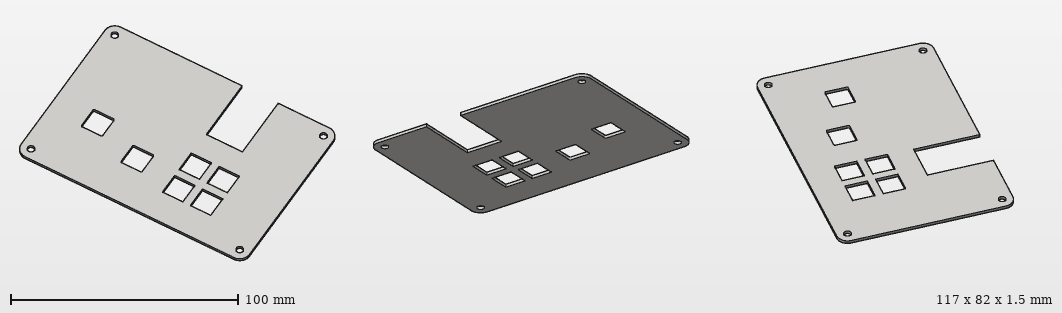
import cadquery as cq

length = 117.0
width = 82.0
thickness = 1.5
corner_radius = 5.0

hole_diameter = 3.4
hole_spacing_x = length - 2 * corner_radius
hole_spacing_y = width - 2 * corner_radius

notch_width = 18.5
notch_depth = 30.8
notch_center_x = 18.0

round_window_size = 10.8
round_window_radius = 0.5
round_window_centers = [(-35.5, -8.8), (-10.5, -16.6)]

grid_window_size = 10.4
grid_pitch = 14.3
grid_count = 2
grid_center = (20.6, -14.2)


def make_plate():
    plate = cq.Workplane("XY").box(length, width, thickness)
    return plate.edges("|Z").fillet(corner_radius)


def make_mounting_holes():
    return (
        cq.Workplane("XY")
        .rarray(hole_spacing_x, hole_spacing_y, 2, 2)
        .circle(hole_diameter / 2)
        .extrude(thickness, both=True)
    )


def make_notch():
    return (
        cq.Workplane("XY")
        .center(notch_center_x, width / 2)
        .rect(notch_width, 2 * notch_depth)
        .extrude(thickness, both=True)
    )


def make_round_windows():
    windows = (
        cq.Workplane("XY")
        .pushPoints(round_window_centers)
        .rect(round_window_size, round_window_size)
        .extrude(thickness, both=True)
    )
    return windows.edges("|Z").fillet(round_window_radius)


def make_window_grid():
    return (
        cq.Workplane("XY")
        .center(*grid_center)
        .rarray(grid_pitch, grid_pitch, grid_count, grid_count)
        .rect(grid_window_size, grid_window_size)
        .extrude(thickness, both=True)
    )


result = (
    make_plate()
    .cut(make_mounting_holes())
    .cut(make_notch())
    .cut(make_round_windows())
    .cut(make_window_grid())
)